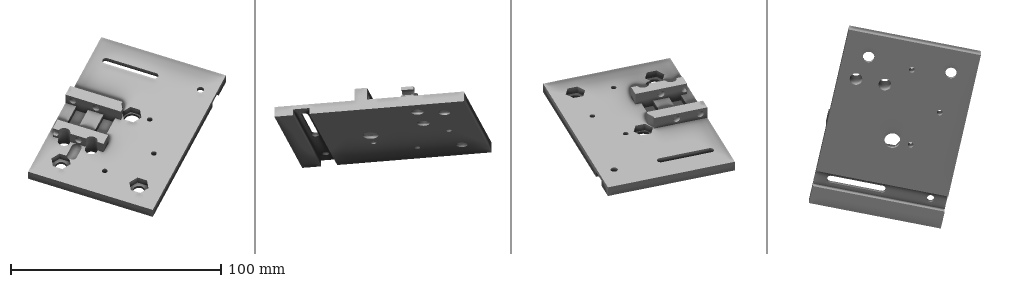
import cadquery as cq

PLATE_X = 64.0
PLATE_Y = 92.0
PLATE_Z = 5.0
TOP_Z = 11.0
THROUGH = 3 * TOP_Z

WALL_THICKNESS = 6.0
WALL_HEIGHT = TOP_Z - PLATE_Z
WALL_END_X = 28.5
REAR_WALL_START_X = 0.0
REAR_WALL_Y = 47.0
FRONT_WALL_START_X = 2.5
FRONT_WALL_Y = 25.0

WALL_HOLE_DIAMETER = 3.5
WALL_HOLE_Z = 8.0
WALL_HOLE_XS = (3.6, 15.5)

ROD_DIAMETER = 6.0
ROD_TO_WALL_FACE = 0.6
ROD_Y = FRONT_WALL_Y - ROD_TO_WALL_FACE
ROD_XS = (8.5, 22.5)
CHANNEL_DEPTH = 3.0

RELIEF_X = 5.0
RELIEF_Y = 10.0
RELIEF_DEPTH = 2.0
RELIEF_RADIUS = 2.0

BOLTS = (
    (12.0, 12.0, 5.5),
    (52.0, 12.0, 5.5),
    (32.0, 52.1, 7.5),
)
NUT_CORNERS = 9.8
NUT_DEPTH = 3.6
NUT_CLEARANCE_CORNERS = 10.8

SMALL_HOLE_DIAMETER = 2.7
SMALL_HOLE_POINTS = ((41.0, 52.5), (51.0, 33.3), (33.5, 14.3))

GROOVE_Y = 8.0
GROOVE_DEPTH = 3.0
GROOVE_CENTER_Y = 79.0
SLOT_WIDTH = 3.5
SLOT_START_X = 6.0
SLOT_END_X = 34.5
PIVOT_X = 56.25


def box(x, y, z, length, width, height):
    """Block with its lowest corner at (x, y, z)."""
    return cq.Workplane("XY", origin=(x, y, z)).box(length, width, height, centered=False)


def vertical_bore(x, y, diameter):
    """Cutter for a round hole through the full height."""
    return cq.Workplane("XY", origin=(x, y, -THROUGH / 2)).circle(diameter / 2).extrude(THROUGH)


def wall(start_x, start_y):
    """Clamp wall on the plate, ending at the common wall end."""
    return box(start_x, start_y, PLATE_Z, WALL_END_X - start_x, WALL_THICKNESS, WALL_HEIGHT)


def wall_hole(x):
    """Cutter for a screw hole that passes through both walls."""
    start_y = FRONT_WALL_Y - WALL_THICKNESS / 2
    length = REAR_WALL_Y + 2 * WALL_THICKNESS - start_y
    plane = cq.Workplane("XZ", origin=(x, start_y, WALL_HOLE_Z))
    return plane.circle(WALL_HOLE_DIAMETER / 2).extrude(-length)


def channel(rod_x):
    """Cutter for the sunken channel between the walls, as wide as the rod."""
    start_y = FRONT_WALL_Y + WALL_THICKNESS
    floor_z = PLATE_Z - CHANNEL_DEPTH
    start_x = rod_x - ROD_DIAMETER / 2
    length_y = REAR_WALL_Y - start_y
    return box(start_x, start_y, floor_z, ROD_DIAMETER, length_y, CHANNEL_DEPTH)


def relief():
    """Cutter for the relief pocket, rounded at its corners and floor."""
    start_x = WALL_HOLE_XS[1] - RELIEF_X / 2
    start_y = FRONT_WALL_Y - RELIEF_Y
    floor_z = PLATE_Z - RELIEF_DEPTH
    block = box(start_x, start_y, floor_z, RELIEF_X, RELIEF_Y, WALL_HEIGHT)
    return block.edges("|Z or <Z").fillet(RELIEF_RADIUS)


def hexagon(x, y, floor_z, corners):
    """Hexagonal cutter, open upwards, with two corners along X."""
    return cq.Workplane("XY", origin=(x, y, floor_z)).polygon(6, corners).extrude(TOP_Z)


def slot():
    """Cutter for the round-ended slot along X, through the full height."""
    length = SLOT_END_X - SLOT_START_X
    center_x = (SLOT_START_X + SLOT_END_X) / 2
    plane = cq.Workplane("XY", origin=(center_x, GROOVE_CENTER_Y, -THROUGH / 2))
    return plane.slot2D(length, SLOT_WIDTH).extrude(THROUGH)


result = box(0, 0, 0, PLATE_X, PLATE_Y, PLATE_Z)
result = result.union(wall(REAR_WALL_START_X, REAR_WALL_Y))
result = result.union(wall(FRONT_WALL_START_X, FRONT_WALL_Y))

for hole_x in WALL_HOLE_XS:
    result = result.cut(wall_hole(hole_x))

for rod_x in ROD_XS:
    result = result.cut(channel(rod_x))
    result = result.cut(vertical_bore(rod_x, ROD_Y, ROD_DIAMETER))

result = result.cut(relief())

for bolt_x, bolt_y, bolt_diameter in BOLTS:
    result = result.cut(hexagon(bolt_x, bolt_y, PLATE_Z - NUT_DEPTH, NUT_CORNERS))
    result = result.cut(hexagon(bolt_x, bolt_y, PLATE_Z, NUT_CLEARANCE_CORNERS))
    result = result.cut(vertical_bore(bolt_x, bolt_y, bolt_diameter))

for hole_x, hole_y in SMALL_HOLE_POINTS:
    result = result.cut(vertical_bore(hole_x, hole_y, SMALL_HOLE_DIAMETER))

groove = box(0, GROOVE_CENTER_Y - GROOVE_Y / 2, 0, PLATE_X, GROOVE_Y, GROOVE_DEPTH)
result = result.cut(groove)
result = result.cut(slot())
result = result.cut(vertical_bore(PIVOT_X, GROOVE_CENTER_Y, SLOT_WIDTH))